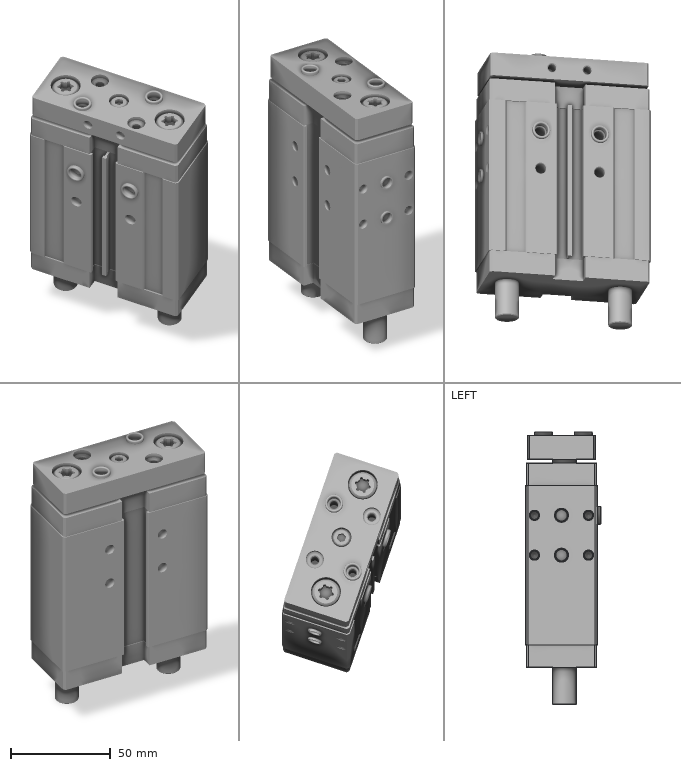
import cadquery as cq
import math

TOTAL_HEIGHT = 136.8
SLEEVE_STAND_OUT = 1.8
LOWER_CAP_Z = 18.7
CAP_HEIGHT = 11.2
BARREL_HEIGHT = 79.9
YOKE_HEIGHT = 12.0
BARREL_Z = LOWER_CAP_Z + CAP_HEIGHT
UPPER_CAP_Z = BARREL_Z + BARREL_HEIGHT
HOUSING_TOP = UPPER_CAP_Z + CAP_HEIGHT
YOKE_TOP = TOTAL_HEIGHT - SLEEVE_STAND_OUT
YOKE_Z = YOKE_TOP - YOKE_HEIGHT

BARREL_WIDTH = 83.0
BARREL_DEPTH = 36.0
BARREL_CORNER = 1.2
BARREL_FRONT = -BARREL_DEPTH / 2
BARREL_SIDE = -BARREL_WIDTH / 2
CAP_WIDTH = 82.0
CAP_DEPTH = 35.2
CAP_CORNER = 1.1
CAP_SLOT_WIDTH = 15.6
CAP_SLOT_DEPTH = 6.2
SLOT_MOUTH_WIDTH = 13.4
SLOT_MOUTH_CHAMFER = 0.4
SLOT_LIP = 1.8
SLOT_WIDTH = 16.1
SLOT_DEPTH = 6.7
RIB_HEAD_WIDTH = 2.2
RIB_HEAD_DEPTH = 1.6
RIB_NECK_WIDTH = 1.1
RIB_SETBACK = 1.0
PANEL_RECESS = 1.1
PANEL_OUTER_X = 33.1
PANEL_OUTER_RUN = 0.5
PANEL_INNER_X = 21.9
PANEL_INNER_RUN = 1.1

HOLE_PITCH = 20.0
UPPER_HOLE_Z = 95.0
HOLE_ROWS = (UPPER_HOLE_Z, UPPER_HOLE_Z - HOLE_PITCH)
MOUNT_HOLE_X = 15.0
MOUNT_HOLE_DIAMETER = 5.3
MOUNT_HOLE_MOUTH = 6.0
THREAD_DIAMETER = 4.1
THREAD_MOUTH = 5.0
THREAD_DEPTH = 8.2
DRILL_POINT_ANGLE = 118.0
SIDE_HOLE_Y = 13.5
PORT_DIAMETER = 6.3

SLEEVE_DIAMETER = 9.0
SLEEVE_BORE = 6.5
SLEEVE_SEAT_DEPTH = 2.2
PLUG_FLANGE_DIAMETER = 7.0
PLUG_BORE = 5.7
PLUG_STAND_OUT = 1.2
PLUG_FLOOR_DEPTH = 1.6
PLUG_LENGTH = 3.4

YOKE_WIDTH = 81.0
YOKE_DEPTH = 34.0
YOKE_CORNER = 1.1
YOKE_HOLE_X = 9.0
YOKE_BACK_ROW_Y = 9.0
YOKE_FRONT_ROW_Y = YOKE_BACK_ROW_Y - HOLE_PITCH
SLEEVE_SPOTS = ((-MOUNT_HOLE_X, YOKE_FRONT_ROW_Y), (MOUNT_HOLE_X, YOKE_BACK_ROW_Y))
BARE_SPOTS = ((-MOUNT_HOLE_X, YOKE_BACK_ROW_Y), (MOUNT_HOLE_X, YOKE_FRONT_ROW_Y))
PISTON_ROD_DIAMETER = 8.0
PISTON_RECESS_DIAMETER = 10.0
PISTON_RECESS_DEPTH = 2.7
PISTON_HEAD_DIAMETER = 8.5
PISTON_HEAD_CHAMFER = 0.5
PISTON_HEAD_SETBACK = 0.8
HEX_SIDES = 6
HEX_ACROSS_CORNERS = 4.7
HEX_DEPTH = 2.5

GUIDE_X = 29.0
GUIDE_Y = -1.5
GUIDE_DIAMETER = 12.0
GUIDE_END_CHAMFER = 0.4
GUIDE_RECESS_DIAMETER = 15.0
GUIDE_RECESS_DEPTH = 5.5
GUIDE_HEAD_DIAMETER = 13.7
GUIDE_HEAD_CHAMFER = 1.1
GUIDE_HEAD_SETBACK = 0.8
LOBE_COUNT = 6
LOBE_DIAMETER = 1.6
LOBE_TIP_DIAMETER = 8.2
LOBE_CORE_DIAMETER = 6.3
LOBE_SOCKET_DEPTH = 4.1

UP = cq.Vector(0, 0, 1)
DOWN = cq.Vector(0, 0, -1)
INWARD_FROM_FRONT = cq.Vector(0, 1, 0)
INWARD_FROM_SIDE = cq.Vector(1, 0, 0)


def cylinder(diameter, length, start, direction):
    """Solid cylinder running from a start point along a direction."""
    return cq.Workplane(cq.Solid.makeCylinder(diameter / 2, length, cq.Vector(*start), direction))


def mouth_chamfer(diameter, mouth, start, direction):
    """45 degree countersink that narrows from the mouth to the hole."""
    depth = (mouth - diameter) / 2
    return cq.Workplane(cq.Solid.makeCone(mouth / 2, diameter / 2, depth, cq.Vector(*start), direction))


def drilled_hole(start, direction):
    """Blind tapped hole with a chamfered mouth and a conical drill point."""
    point_length = THREAD_DIAMETER / 2 / math.tan(math.radians(DRILL_POINT_ANGLE / 2))
    point_start = cq.Vector(*start) + direction * THREAD_DEPTH
    point = cq.Solid.makeCone(THREAD_DIAMETER / 2, 0, point_length, point_start, direction)
    hole = cylinder(THREAD_DIAMETER, THREAD_DEPTH, start, direction).union(cq.Workplane(point))
    return hole.union(mouth_chamfer(THREAD_DIAMETER, THREAD_MOUTH, start, direction))


def chamfered_block(width, depth, height, bottom, corner):
    """Upright block with chamfered vertical corners."""
    block = cq.Workplane("XY").workplane(offset=bottom).rect(width, depth).extrude(height)
    return block.edges("|Z").chamfer(corner)


def panel_recess(side):
    """Shallow full-height recess in the barrel front, with sloping flanks; side is -1 or 1."""
    floor_y = BARREL_FRONT + PANEL_RECESS
    outline = [
        (side * PANEL_INNER_X, BARREL_FRONT),
        (side * (PANEL_INNER_X + PANEL_INNER_RUN), floor_y),
        (side * (PANEL_OUTER_X - PANEL_OUTER_RUN), floor_y),
        (side * PANEL_OUTER_X, BARREL_FRONT),
    ]
    return cq.Workplane("XY").workplane(offset=BARREL_Z).polyline(outline).close().extrude(BARREL_HEIGHT)


def front_groove(width, depth, bottom, height):
    """Rectangular vertical groove down the middle of the barrel front."""
    groove = cq.Workplane("XY").box(width, depth, height, (True, False, False))
    return groove.translate((0, BARREL_FRONT, bottom))


def barrel_slot():
    """Undercut slot whose mouth is narrowed by two lips with chamfered edges."""
    slot = front_groove(SLOT_WIDTH, SLOT_DEPTH, BARREL_Z, BARREL_HEIGHT)
    half_mouth = SLOT_MOUTH_WIDTH / 2
    for side in (-1, 1):
        lip_outline = [
            (side * SLOT_WIDTH / 2, BARREL_FRONT),
            (side * (half_mouth + SLOT_MOUTH_CHAMFER), BARREL_FRONT),
            (side * half_mouth, BARREL_FRONT + SLOT_MOUTH_CHAMFER),
            (side * half_mouth, BARREL_FRONT + SLOT_LIP),
            (side * SLOT_WIDTH / 2, BARREL_FRONT + SLOT_LIP),
        ]
        lip = cq.Workplane("XY").workplane(offset=BARREL_Z).polyline(lip_outline).close()
        slot = slot.cut(lip.extrude(BARREL_HEIGHT))
    return slot


def slot_rib():
    """T-shaped rib standing on the floor of the front slot."""
    neck = front_groove(RIB_NECK_WIDTH, SLOT_DEPTH - RIB_SETBACK, BARREL_Z, BARREL_HEIGHT)
    head = front_groove(RIB_HEAD_WIDTH, RIB_HEAD_DEPTH, BARREL_Z, BARREL_HEIGHT)
    return neck.union(head).translate((0, RIB_SETBACK, 0))


def with_back_copy(front_shape):
    """A front feature together with its mirror image on the back."""
    return front_shape.union(front_shape.mirror("XZ"))


def make_barrel():
    """Profiled middle length of the housing."""
    barrel = chamfered_block(BARREL_WIDTH, BARREL_DEPTH, BARREL_HEIGHT, BARREL_Z, BARREL_CORNER)
    for side in (-1, 1):
        barrel = barrel.cut(panel_recess(side))
    return barrel.cut(with_back_copy(barrel_slot())).union(slot_rib())


def make_cap(bottom):
    """End section of the housing, slotted on front and back."""
    cap = chamfered_block(CAP_WIDTH, CAP_DEPTH, CAP_HEIGHT, bottom, CAP_CORNER)
    return cap.cut(with_back_copy(front_groove(CAP_SLOT_WIDTH, CAP_SLOT_DEPTH, bottom, CAP_HEIGHT)))


def make_housing():
    """Barrel between two slightly smaller end caps, with all its bores."""
    housing = make_barrel().union(make_cap(LOWER_CAP_Z)).union(make_cap(UPPER_CAP_Z))
    for side in (-1, 1):
        guide_start = (side * GUIDE_X, GUIDE_Y, LOWER_CAP_Z)
        housing = housing.cut(cylinder(GUIDE_DIAMETER, HOUSING_TOP - LOWER_CAP_Z, guide_start, UP))
    housing = housing.cut(cylinder(PISTON_ROD_DIAMETER, CAP_HEIGHT, (0, 0, UPPER_CAP_Z), UP))

    for z in HOLE_ROWS:
        for side in (-1, 1):
            start = (side * MOUNT_HOLE_X, BARREL_FRONT, z)
            housing = housing.cut(cylinder(MOUNT_HOLE_DIAMETER, BARREL_DEPTH, start, INWARD_FROM_FRONT))
            chamfer_y = BARREL_FRONT
            if z == UPPER_HOLE_Z:
                seat = cylinder(SLEEVE_DIAMETER, SLEEVE_SEAT_DEPTH, start, INWARD_FROM_FRONT)
                housing = housing.cut(seat)
                chamfer_y = BARREL_FRONT + SLEEVE_SEAT_DEPTH
            chamfer_start = (side * MOUNT_HOLE_X, chamfer_y, z)
            housing = housing.cut(
                mouth_chamfer(MOUNT_HOLE_DIAMETER, MOUNT_HOLE_MOUTH, chamfer_start, INWARD_FROM_FRONT)
            )
            housing = housing.cut(drilled_hole((BARREL_SIDE, side * SIDE_HOLE_Y, z), INWARD_FROM_SIDE))
        housing = housing.cut(cylinder(PORT_DIAMETER, PLUG_LENGTH, (BARREL_SIDE, 0, z), INWARD_FROM_SIDE))
    return housing


def make_yoke():
    """End plate, with the piston rod and its recessed hexagon-socket head in one piece."""
    yoke = chamfered_block(YOKE_WIDTH, YOKE_DEPTH, YOKE_HEIGHT, YOKE_Z, YOKE_CORNER)
    for side in (-1, 1):
        x = side * GUIDE_X
        yoke = yoke.cut(cylinder(GUIDE_DIAMETER, YOKE_HEIGHT, (x, GUIDE_Y, YOKE_Z), UP))
        yoke = yoke.cut(cylinder(GUIDE_RECESS_DIAMETER, GUIDE_RECESS_DEPTH, (x, GUIDE_Y, YOKE_TOP), DOWN))
        front_start = (side * YOKE_HOLE_X, -YOKE_DEPTH / 2, YOKE_Z + YOKE_HEIGHT / 2)
        yoke = yoke.cut(drilled_hole(front_start, INWARD_FROM_FRONT))

    seat_z = YOKE_TOP - SLEEVE_SEAT_DEPTH
    for x, y in SLEEVE_SPOTS + BARE_SPOTS:
        yoke = yoke.cut(cylinder(SLEEVE_DIAMETER, SLEEVE_SEAT_DEPTH, (x, y, YOKE_TOP), DOWN))
        yoke = yoke.cut(cylinder(THREAD_DIAMETER, YOKE_HEIGHT, (x, y, YOKE_Z), UP))
        yoke = yoke.cut(mouth_chamfer(THREAD_DIAMETER, THREAD_MOUTH, (x, y, seat_z), DOWN))

    yoke = yoke.cut(cylinder(PISTON_RECESS_DIAMETER, PISTON_RECESS_DEPTH, (0, 0, YOKE_TOP), DOWN))
    head_z = YOKE_TOP - PISTON_RECESS_DEPTH
    head_top = YOKE_TOP - PISTON_HEAD_SETBACK
    head = cylinder(PISTON_HEAD_DIAMETER, head_top - head_z, (0, 0, head_z), UP)
    yoke = yoke.union(head.faces(">Z").chamfer(PISTON_HEAD_CHAMFER))
    socket = cq.Workplane("XY").workplane(offset=head_top).polygon(HEX_SIDES, HEX_ACROSS_CORNERS)
    rod = cylinder(PISTON_ROD_DIAMETER, YOKE_Z - UPPER_CAP_Z, (0, 0, UPPER_CAP_Z), UP)
    return yoke.cut(socket.extrude(-HEX_DEPTH)).union(rod)


def lobed_socket(top):
    """Six-lobed drive socket, sunk from a height on the Z axis."""
    socket = cylinder(LOBE_CORE_DIAMETER, LOBE_SOCKET_DEPTH, (0, 0, top), DOWN)
    lobe_radius = (LOBE_TIP_DIAMETER - LOBE_DIAMETER) / 2
    for index in range(LOBE_COUNT):
        angle = math.pi / 2 + index * 2 * math.pi / LOBE_COUNT
        spot = (lobe_radius * math.cos(angle), lobe_radius * math.sin(angle), top)
        socket = socket.union(cylinder(LOBE_DIAMETER, LOBE_SOCKET_DEPTH, spot, DOWN))
    return socket


def make_guide_rod(side):
    """Guide rod with a chamfered head resting in the yoke recess; side is -1 or 1."""
    head_z = YOKE_TOP - GUIDE_RECESS_DEPTH
    head_top = YOKE_TOP - GUIDE_HEAD_SETBACK
    head = cylinder(GUIDE_HEAD_DIAMETER, head_top - head_z, (0, 0, head_z), UP)
    head = head.faces(">Z").chamfer(GUIDE_HEAD_CHAMFER)
    rod = cylinder(GUIDE_DIAMETER, head_z, (0, 0, 0), UP).faces("<Z").chamfer(GUIDE_END_CHAMFER)
    return rod.union(head).cut(lobed_socket(head_top)).translate((side * GUIDE_X, GUIDE_Y, 0))


def make_sleeve():
    """Centring sleeve about Z with its seat end at the origin and a rounded outer rim."""
    length = SLEEVE_SEAT_DEPTH + SLEEVE_STAND_OUT
    outer = SLEEVE_DIAMETER / 2
    rim_radius = (SLEEVE_DIAMETER - SLEEVE_BORE) / 4
    outline = [
        (SLEEVE_BORE / 2, 0),
        (outer, 0),
        (outer, length - rim_radius),
    ]
    profile = cq.Workplane("XZ").polyline(outline)
    profile = profile.threePointArc((outer - rim_radius, length), (SLEEVE_BORE / 2, length - rim_radius))
    return profile.close().revolve(360, (0, 0), (0, 1))


def make_plug(z):
    """Hollow port plug whose flange stands out from the left side of the barrel."""
    mouth = (BARREL_SIDE - PLUG_STAND_OUT, 0, z)
    flange = cylinder(PLUG_FLANGE_DIAMETER, PLUG_STAND_OUT, mouth, INWARD_FROM_SIDE)
    stem = cylinder(PORT_DIAMETER, PLUG_LENGTH, (BARREL_SIDE, 0, z), INWARD_FROM_SIDE)
    hollow = cylinder(PLUG_BORE, PLUG_STAND_OUT + PLUG_FLOOR_DEPTH, mouth, INWARD_FROM_SIDE)
    return flange.union(stem).cut(hollow)


housing = make_housing()
yoke = make_yoke()
guide_rods = [make_guide_rod(side) for side in (-1, 1)]
plugs = [make_plug(z) for z in HOLE_ROWS]

sleeves = []
for x, y in SLEEVE_SPOTS:
    sleeves.append(make_sleeve().translate((x, y, YOKE_TOP - SLEEVE_SEAT_DEPTH)))
front_sleeve = make_sleeve().rotate((0, 0, 0), (1, 0, 0), 90)
for side in (-1, 1):
    seat_y = BARREL_FRONT + SLEEVE_SEAT_DEPTH
    sleeves.append(front_sleeve.translate((side * MOUNT_HOLE_X, seat_y, UPPER_HOLE_Z)))

bodies = [housing, yoke, *guide_rods, *plugs, *sleeves]
result = cq.Compound.makeCompound([body.val() for body in bodies])